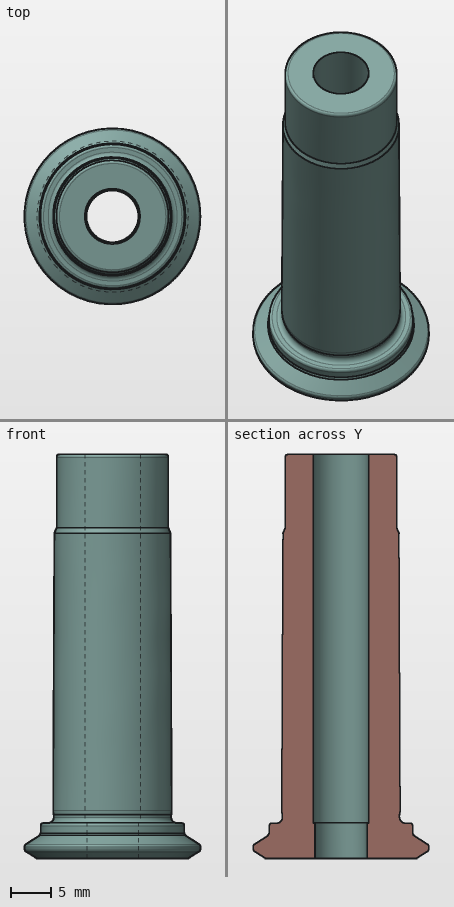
import cadquery as cq
import math

height = 50.5
rim_radius = 22.0 / 2
bore_radius = 6.9 / 2
lower_bore_radius = 3.25

base_radius = 9.45
rim_wall_bottom = 1.2
rim_wall_top = 1.45
rim_round = 0.4
rim_slope = math.radians(32)

collar_radius = 18.0 / 2
collar_foot_height = 2.9
collar_foot_width = 0.15
collar_wall_start = 3.2
collar_top = 4.45
collar_round = 0.35

groove_radius = 14.7 / 2
root_fillet = 0.7
groove_wall_top = 5.45
groove_edge_width = 0.05
groove_top = 5.6
body_bottom = 6.05

body_bottom_radius = 7.4
body_top_radius = 7.25
neck_radius = 14.0 / 2
body_top = 40.65
neck_bottom = 41.3
neck_round = 0.35


def arc_point(center_radius, center_height, arc_radius, angle):
    """Point on an arc in the radius-height plane."""
    return (
        center_radius + arc_radius * math.cos(angle),
        center_height + arc_radius * math.sin(angle),
    )


def rim_point(center_height, angle):
    return arc_point(rim_radius - rim_round, center_height, rim_round, angle)


def make_outer_body():
    """Revolve the outer profile about Z."""
    rim_end_angle = math.pi / 2 - rim_slope
    collar_round_middle = arc_point(
        collar_radius - collar_round, collar_top - collar_round, collar_round, math.pi / 4
    )
    root_middle = arc_point(
        groove_radius + root_fillet, collar_top + root_fillet, root_fillet, -3 * math.pi / 4
    )
    neck_round_middle = arc_point(
        neck_radius - neck_round, height - neck_round, neck_round, math.pi / 4
    )
    profile = (
        cq.Workplane("XZ")
        .lineTo(base_radius, 0)
        .lineTo(*rim_point(rim_wall_bottom, -rim_end_angle))
        .threePointArc(rim_point(rim_wall_bottom, -rim_end_angle / 2), rim_point(rim_wall_bottom, 0))
        .lineTo(*rim_point(rim_wall_top, 0))
        .threePointArc(rim_point(rim_wall_top, rim_end_angle / 2), rim_point(rim_wall_top, rim_end_angle))
        .lineTo(collar_radius + collar_foot_width, collar_foot_height)
        .lineTo(collar_radius, collar_wall_start)
        .lineTo(collar_radius, collar_top - collar_round)
        .threePointArc(collar_round_middle, (collar_radius - collar_round, collar_top))
        .lineTo(groove_radius + root_fillet, collar_top)
        .threePointArc(root_middle, (groove_radius, collar_top + root_fillet))
        .lineTo(groove_radius, groove_wall_top)
        .lineTo(groove_radius + groove_edge_width, groove_top)
        .lineTo(body_bottom_radius, body_bottom)
        .lineTo(body_top_radius, body_top)
        .lineTo(neck_radius, neck_bottom)
        .lineTo(neck_radius, height - neck_round)
        .threePointArc(neck_round_middle, (neck_radius - neck_round, height))
        .lineTo(0, height)
        .close()
    )
    return profile.revolve(360, (0, 0, 0), (0, 1, 0))


def make_bore():
    """Through bore that narrows inside the flange and collar."""
    lower_bore = cq.Workplane("XY").circle(lower_bore_radius).extrude(collar_top)
    upper_bore = (
        cq.Workplane("XY")
        .workplane(offset=collar_top)
        .circle(bore_radius)
        .extrude(height - collar_top)
    )
    return lower_bore.union(upper_bore)


result = make_outer_body().cut(make_bore())